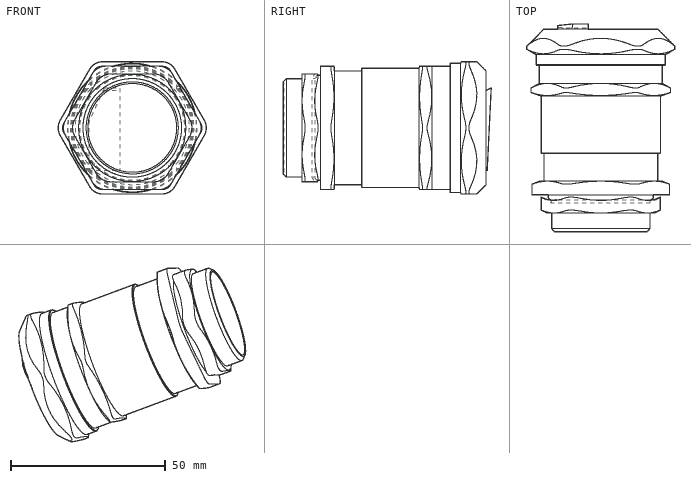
import cadquery as cq
import math


ENTRY_NUT_START = 6.1
ENTRY_NUT_END = 11.3
LOCK_NUT_START = 12.05
LOCK_NUT_END = 16.6
SLEEVE_START = 25.4
MIDDLE_NUT_START = 44.05
MIDDLE_NUT_END = 48.2
COLLAR_START = 54.05
CAP_NUT_START = 57.5
CAP_END = 65.83
TAB_TOP = 67.53

ENTRY_DIAMETER = 32.0
BODY_DIAMETER = 37.0
SLEEVE_DIAMETER = 38.8
NECK_DIAMETER = 40.0
COLLAR_DIAMETER = 42.0
CAP_FACE_DIAMETER = 37.0
ENTRY_CHAMFER = 1.05
EDGE_CHAMFER = 0.2
RECESS_DIAMETER = 28.8
RECESS_DEPTH = 0.2

ENTRY_HEX = (35.0, 5.5)
LOCK_HEX = (40.0, 5.0)
MIDDLE_HEX = (40.0, 3.0)
CAP_HEX = (43.0, 5.0)

ENTRY_BEVEL = (34.8, 27.0)
ENTRY_SEAT_ANGLE = 30.0
LOCK_BEVEL = (39.4, 22.5)
MIDDLE_FRONT_BEVEL = (SLEEVE_DIAMETER, 20.0)
MIDDLE_BACK_BEVEL = (NECK_DIAMETER, 30.0)
CAP_FRONT_BEVEL = (COLLAR_DIAMETER, 30.0)
CAP_BACK_BEVEL = (CAP_FACE_DIAMETER, 45.0)
SQUARE_FACE = (0.0, 0.0)
BEVEL_OVERRUN = 1.0

SEAL_DIAMETER = 34.2
SEAL_THICKNESS = 2.5
SEAL_STATION = 11.55

TAB_LEFT = -14.0
TAB_TIP_LEFT = -9.0
TAB_RIGHT = -4.0
TAB_LOW_Z = -13.8
TAB_SHOULDER_Z = 2.0
TAB_HIGH_Z = 13.0
TAB_LOW_RISE = 0.4
TAB_EDGE_DRAFT = 0.8


def cylinder(diameter, start, end):
    """Solid cylinder on the Y axis between two stations."""
    return cq.Workplane("XZ", origin=(0, start, 0)).circle(diameter / 2).extrude(start - end)


def corner_reach(hexagon):
    """Distance from the axis to the tip of a rounded hexagon corner."""
    across_flats, corner_radius = hexagon
    sharp = across_flats / math.sqrt(3)
    return sharp - corner_radius * (1 / math.cos(math.pi / 6) - 1)


def hex_prism(hexagon, start, end):
    """Rounded hexagonal prism with corners on the X axis."""
    across_flats, corner_radius = hexagon
    prism = cq.Workplane("XZ", origin=(0, start, 0))
    prism = prism.polygon(6, 2 * across_flats / math.sqrt(3)).extrude(start - end)
    return prism.edges("|Y").fillet(corner_radius)


def revolve(points):
    """Turn a radius / station outline about the Y axis."""
    return cq.Workplane("XY").polyline(points).close().revolve(360, (0, 0, 0), (0, 1, 0))


def bevelled_nut(hexagon, start, end, front_bevel, back_bevel):
    """Rounded hexagon whose faces are bevelled by cones; a square face has no bevel."""
    reach = corner_reach(hexagon) + BEVEL_OVERRUN

    def face_profile(bevel, station, inward):
        diameter, angle = bevel
        if angle == 0:
            return [(reach, station)]
        rise = (reach - diameter / 2) * math.tan(math.radians(angle))
        return [(diameter / 2, station), (reach, station + inward * rise)]

    front = face_profile(front_bevel, start, 1)
    back = face_profile(back_bevel, end, -1)
    outline = [(0, start)] + front + back[::-1] + [(0, end)]
    return hex_prism(hexagon, start, end).intersect(revolve(outline))


def entry_nut():
    """Front nut, its back hollowed by a cone that holds the sealing ring."""
    nut = bevelled_nut(ENTRY_HEX, ENTRY_NUT_START, ENTRY_NUT_END, ENTRY_BEVEL, SQUARE_FACE)
    reach = corner_reach(ENTRY_HEX)
    seat_depth = reach * math.tan(math.radians(ENTRY_SEAT_ANGLE))
    seat = revolve(
        [
            (0, ENTRY_NUT_END - seat_depth),
            (reach, ENTRY_NUT_END),
            (0, ENTRY_NUT_END),
        ]
    )
    return nut.cut(seat)


def entry_spigot():
    """Entry end with a chamfered rim and a shallow recess in its face."""
    spigot = cylinder(ENTRY_DIAMETER, 0, LOCK_NUT_START)
    spigot = spigot.faces("<Y").edges().chamfer(ENTRY_CHAMFER)
    return spigot.cut(cylinder(RECESS_DIAMETER, 0, RECESS_DEPTH))


def seal():
    """O-ring squeezed between the front nuts, partly inside both."""
    tube_radius = SEAL_THICKNESS / 2
    ring_radius = SEAL_DIAMETER / 2 - tube_radius
    section = cq.Workplane("XY").center(-ring_radius, SEAL_STATION).circle(tube_radius)
    return section.revolve(360, (ring_radius, 0, 0), (ring_radius, 1, 0))


def chamfered_front(diameter, start, end):
    """Cylinder with its front edge broken."""
    return cylinder(diameter, start, end).faces("<Y").edges().chamfer(EDGE_CHAMFER)


def tilted_tab():
    """Wedge that rises from the cap face towards +Z, narrower at its high end."""
    profile = [
        (CAP_END, TAB_LOW_Z),
        (CAP_END + TAB_LOW_RISE, TAB_LOW_Z),
        (TAB_TOP, TAB_HIGH_Z),
        (CAP_END, TAB_HIGH_Z - TAB_EDGE_DRAFT),
    ]
    wedge = cq.Workplane("YZ", origin=(TAB_LEFT, 0, 0)).polyline(profile).close()
    wedge = wedge.extrude(TAB_RIGHT - TAB_LEFT)
    outline = [
        (TAB_LEFT, TAB_LOW_Z),
        (TAB_LEFT, TAB_SHOULDER_Z),
        (TAB_TIP_LEFT, TAB_HIGH_Z),
        (TAB_RIGHT, TAB_HIGH_Z),
        (TAB_RIGHT, TAB_LOW_Z),
    ]
    plan = cq.Workplane("XZ", origin=(0, CAP_END, 0)).polyline(outline).close()
    plan = plan.extrude(CAP_END - TAB_TOP)
    return wedge.intersect(plan).intersect(cylinder(CAP_FACE_DIAMETER, CAP_END, TAB_TOP))


parts = [
    entry_nut(),
    seal(),
    bevelled_nut(LOCK_HEX, LOCK_NUT_START, LOCK_NUT_END, SQUARE_FACE, LOCK_BEVEL),
    cylinder(BODY_DIAMETER, LOCK_NUT_END, SLEEVE_START),
    chamfered_front(SLEEVE_DIAMETER, SLEEVE_START, MIDDLE_NUT_START),
    bevelled_nut(MIDDLE_HEX, MIDDLE_NUT_START, MIDDLE_NUT_END, MIDDLE_FRONT_BEVEL, MIDDLE_BACK_BEVEL),
    cylinder(NECK_DIAMETER, MIDDLE_NUT_END, COLLAR_START),
    chamfered_front(COLLAR_DIAMETER, COLLAR_START, CAP_NUT_START),
    bevelled_nut(CAP_HEX, CAP_NUT_START, CAP_END, CAP_FRONT_BEVEL, CAP_BACK_BEVEL),
    tilted_tab(),
]

result = entry_spigot()
for part in parts:
    result = result.union(part)